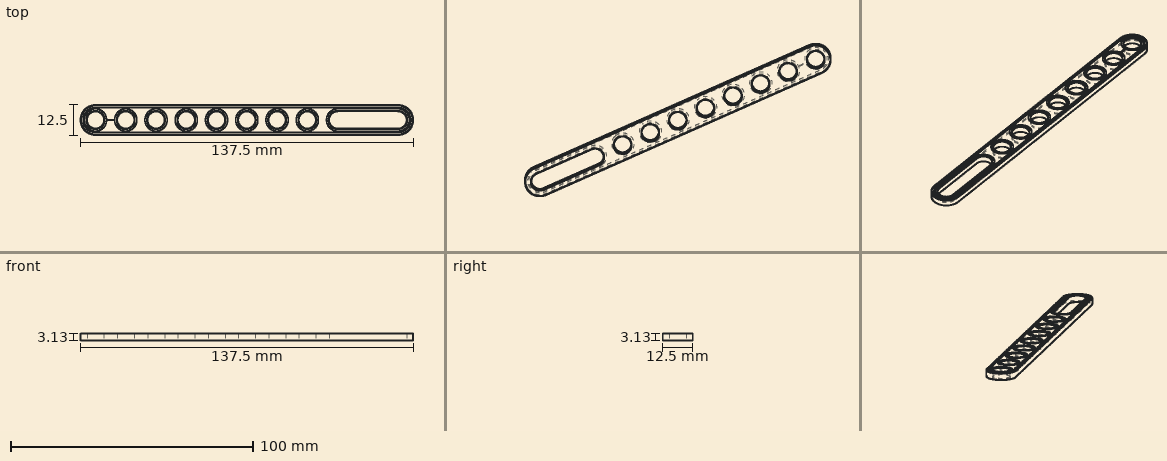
import cadquery as cq

length = 137.5
pitch_count = 11
round_hole_count = 8
slot_pitches = 2
hole_diameter = 7.0
collar_diameter = 9.2
recess_depth = 0.19
edge_chamfer = 0.3
tick_length = 2.5
tick_width = 0.3

pitch = length / pitch_count
width = pitch
thickness = pitch / 4
rim_width = (collar_diameter - hole_diameter) / 2
floor_z = thickness - recess_depth
first_hole_x = (pitch - length) / 2
hole_centres = [first_hole_x + i * pitch for i in range(round_hole_count)]
slot_travel = slot_pitches * pitch
slot_centre_x = first_hole_x + round_hole_count * pitch + slot_travel / 2


def round_ended_bar(overall_length, overall_width, height, centre_x=0, base_z=0):
    """Upright bar lying along X with semicircular ends."""
    bar = cq.Workplane("XY", origin=(centre_x, 0, base_z))
    return bar.slot2D(overall_length, overall_width).extrude(height)


def opening_columns(diameter, height, base_z=0):
    """Columns standing at every round hole and at the slot, all equally wide."""
    columns = cq.Workplane("XY", origin=(0, 0, base_z))
    columns = columns.pushPoints([(x, 0) for x in hole_centres]).circle(diameter / 2).extrude(height)
    slot = round_ended_bar(slot_travel + diameter, diameter, height, slot_centre_x, base_z)
    return columns.union(slot)


def top_recess():
    """Shallow pocket inside the edge rim, with the collars and the tick left standing."""
    pocket = round_ended_bar(
        length - 2 * rim_width, width - 2 * rim_width, recess_depth, base_z=floor_z
    )
    collars = opening_columns(collar_diameter, recess_depth, floor_z)
    tick_x = (hole_centres[0] + hole_centres[1]) / 2
    tick = (
        cq.Workplane("XY", origin=(tick_x, 0, floor_z))
        .rect(tick_length, tick_width)
        .extrude(recess_depth)
    )
    return pocket.cut(collars).cut(tick)


strip = round_ended_bar(length, width, thickness)
strip = strip.cut(opening_columns(hole_diameter, thickness))
strip = strip.faces("<Z or >Z").edges().chamfer(edge_chamfer)

result = strip.cut(top_recess())